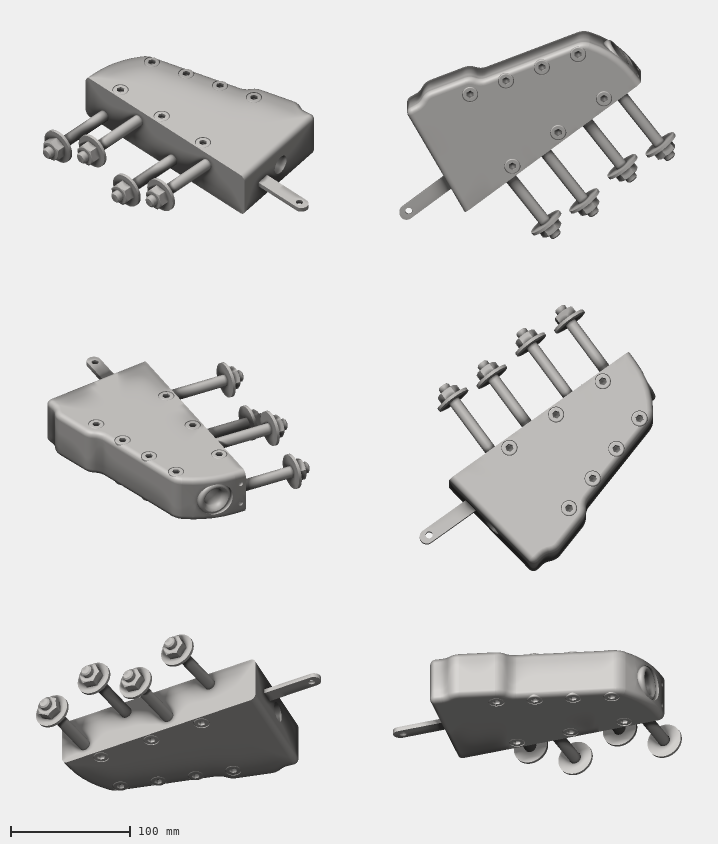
import cadquery as cq
import math

TILT = 8.0
HEIGHT = 42.0
TOP = HEIGHT / 2
RIGHT_X = 183.8
OVERLAP = 2.4
EDGE_ROUND = 5.0

LEFT_LENGTH = 10.0
NOSE_RADIUS = 75.0
NOSE_TURN = 35.2
SHOULDER_RADIUS = 15.0
LOWER_TOP_LENGTH = 82.0
HOLLOW_RADIUS = 12.0
CREST_RADIUS = 13.5
STEP_TURN = 42.0
UPPER_TOP_LENGTH = 30.2
DROP_ANGLE = 35.0

SCREW_HEAD_DIAMETER = 13.0
SCREW_HEAD_ROUND = 1.0
SCREW_HEAD_HEIGHT = 8.0
COUNTERBORE_DIAMETER = 13.5
SOCKET_WIDTH = 6.0
SOCKET_DEPTH = 4.0
SOCKET_POINT_ANGLE = 118.0
SCREW_X = 33.7
SCREW_PITCH = 31.8
BACK_ROW_Y = [47.4, 52.5, 57.0, 61.5]
FRONT_ROW_Y = 3.3
FRONT_PITCH = 1.5 * SCREW_PITCH
FRONT_COUNT = 3

BOLT_DIAMETER = 10.0
BOLT_LENGTH = 69.3
BOLT_CHAMFER = 1.2
BOLT_COUNT = 4
BOLT_START = 21.7
BOLT_PITCH = 40.0
BOLT_STAGGER = 19.0
WASHER_DIAMETER = 30.0
WASHER_HOLE = 10.5
WASHER_THICKNESS = 2.5
WASHER_DEPTH = 53.5
NUT_WIDTH = 17.0
NUT_HEIGHT = 8.0
NUT_CROWN_DIAMETER = 16.0
NUT_CONE_ANGLE = 30.0
FIRST_NUT_ANGLE = 33.0
NUT_ANGLE = -7.0

GROMMET_DIAMETER = 30.0
GROMMET_ROUND = 3.0
GROMMET_BORE = 16.7
TUNNEL_LAP = 1.2
BELL_DEPTH = 6.1
GROMMET_INSET = 27.0
GROMMET_FACE = 2.0
GROMMET_LENGTH = 11.8

PIN_HOLE_DIAMETER = 4.2
PIN_HOLE_DEPTH = 7.0
PIN_HOLE_INSET = 4.7
PIN_HOLE_SPACING = 19.8

TONGUE_WIDTH = 12.0
TONGUE_THICKNESS = 4.0
TONGUE_INSET = 25.5
TONGUE_START = 165.0
TONGUE_END = 227.1
TONGUE_HOLE_DIAMETER = 6.0
TONGUE_HOLE_SETBACK = 2.4

COS_TILT = math.cos(math.radians(TILT))
SIN_TILT = math.sin(math.radians(TILT))


def hex_corners(width):
    """Diameter over the corners of a hexagon with the given width across flats."""
    return width / math.cos(math.radians(30))


def tilted(shape):
    """Turn a shape modelled square to the mounting face into its final place."""
    return shape.rotate((0, 0, 0), (0, 0, 1), -TILT)


def body_outline():
    """Side outline of the body; every arc leaves tangent to what comes before it."""
    x, y, heading = 0.0, 0.0, 90.0 - TILT
    wire = cq.Workplane("XY", origin=(0, 0, -TOP)).moveTo(x, y)
    runs = [
        ("line", LEFT_LENGTH, 0),
        ("arc", NOSE_RADIUS, -NOSE_TURN),
        ("arc", SHOULDER_RADIUS, NOSE_TURN - 90 + 2 * TILT),
        ("line", LOWER_TOP_LENGTH, 0),
        ("arc", HOLLOW_RADIUS, STEP_TURN),
        ("arc", CREST_RADIUS, -STEP_TURN),
        ("line", UPPER_TOP_LENGTH, 0),
        ("arc", CREST_RADIUS, -TILT - DROP_ANGLE),
        ("arc", HOLLOW_RADIUS, DROP_ANGLE),
    ]
    for kind, size, turn in runs:
        chord = size
        if kind == "arc":
            chord = 2 * size * math.sin(math.radians(abs(turn) / 2))
        direction = math.radians(heading + turn / 2)
        x += chord * math.cos(direction)
        y += chord * math.sin(direction)
        heading += turn
        if kind == "line":
            wire = wire.lineTo(x, y)
        else:
            wire = wire.radiusArc((x, y), -math.copysign(size, turn))
    wire = wire.lineTo(RIGHT_X, y)
    return wire.lineTo(RIGHT_X, -RIGHT_X * math.tan(math.radians(TILT))).close()


def make_body():
    """Extruded outline, rounded everywhere except around the mounting face."""
    body = body_outline().extrude(HEIGHT)
    back_corner = body.edges("|Z").edges(">(1, 1, 0)")
    mounting_edges = body.faces(f"<({SIN_TILT}, {COS_TILT}, 0)").edges().vals()
    rim = body.faces("<Z or >Z").edges().filter(
        lambda edge: not any(edge.isSame(other) for other in mounting_edges)
    )
    return rim.add(back_corner).fillet(EDGE_ROUND)


def screw_pocket():
    """Counterbore for one screw, reaching from the top face down."""
    plane = cq.Workplane("XY", origin=(0, 0, TOP))
    return plane.circle(COUNTERBORE_DIAMETER / 2).extrude(-SCREW_HEAD_HEIGHT)


def screw_head():
    """Rounded screw head, flush with the top face, with a hexagon socket ending in a cone."""
    plane = cq.Workplane("XY", origin=(0, 0, TOP))
    head = plane.circle(SCREW_HEAD_DIAMETER / 2).extrude(-SCREW_HEAD_HEIGHT)
    head = head.faces(">Z").edges().fillet(SCREW_HEAD_ROUND)
    socket = plane.polygon(6, hex_corners(SOCKET_WIDTH)).extrude(-SOCKET_DEPTH)
    radius = SOCKET_WIDTH / 2
    point = radius / math.tan(math.radians(SOCKET_POINT_ANGLE / 2))
    cone = cq.Solid.makeCone(radius, 0, point, cq.Vector(0, 0, TOP - SOCKET_DEPTH), cq.Vector(0, 0, -1))
    return head.cut(socket).cut(cq.Workplane(cone))


def screw_places():
    """Positions of all cover screws; the front row follows the mounting face."""
    back = [(SCREW_X + i * SCREW_PITCH, y, 0) for i, y in enumerate(BACK_ROW_Y)]
    fall = FRONT_PITCH * math.tan(math.radians(TILT))
    front = [(SCREW_X + i * FRONT_PITCH, FRONT_ROW_Y - i * fall, 0) for i in range(FRONT_COUNT)]
    return back + front


def make_bolt(along, height, nut_angle):
    """Bolt, washer and nut, pointing away from the mounting face."""
    plane = cq.Workplane("XZ", origin=(along, 0, height))
    bolt = plane.circle(BOLT_DIAMETER / 2).extrude(BOLT_LENGTH).faces("<Y").chamfer(BOLT_CHAMFER)
    root = plane.circle(BOLT_DIAMETER / 2).extrude(-OVERLAP)
    washer = (
        plane.workplane(offset=WASHER_DEPTH)
        .circle(WASHER_DIAMETER / 2).circle(WASHER_HOLE / 2).extrude(WASHER_THICKNESS)
    )
    nut_plane = plane.workplane(offset=WASHER_DEPTH + WASHER_THICKNESS)
    turned_plane = nut_plane.transformed(rotate=(0, 0, nut_angle))
    nut = turned_plane.polygon(6, hex_corners(NUT_WIDTH)).extrude(NUT_HEIGHT)
    rim = hex_corners(NUT_WIDTH) / 2
    crown = rim - NUT_CROWN_DIAMETER / 2
    cone = nut_plane.circle(rim).extrude(NUT_HEIGHT).faces("<Y").chamfer(
        crown * math.tan(math.radians(NUT_CONE_ANGLE)), crown)
    return bolt.union(root).union(washer).union(nut.intersect(cone))


def grommet_seat():
    """Round pocket in the nose that holds the grommet."""
    return (
        cq.Workplane("YZ", origin=(-OVERLAP, GROMMET_INSET, 0)).circle(GROMMET_DIAMETER / 2)
        .extrude(GROMMET_FACE + GROMMET_LENGTH + OVERLAP)
    )


def make_grommet():
    """Ring around the cable opening: rounded outside, with a bell mouth running into the bore."""
    inner = GROMMET_INSET + GROMMET_BORE / 2
    outer = GROMMET_INSET + GROMMET_DIAMETER / 2
    crest = outer - GROMMET_ROUND
    back = GROMMET_FACE + GROMMET_LENGTH
    flare = crest - inner
    bell_radius = (BELL_DEPTH ** 2 + flare ** 2) / (2 * flare)
    return (
        cq.Workplane("XY").moveTo(back, inner).lineTo(GROMMET_FACE + BELL_DEPTH, inner)
        .radiusArc((GROMMET_FACE, crest), bell_radius)
        .radiusArc((GROMMET_FACE + GROMMET_ROUND, outer), GROMMET_ROUND)
        .lineTo(back, outer).close()
        .revolve(360, (0, GROMMET_INSET, 0), (1, GROMMET_INSET, 0))
    )


def cable_tunnel():
    """Bore along X from the back of the grommet out through the right side."""
    back = GROMMET_FACE + GROMMET_LENGTH
    x = back * COS_TILT + GROMMET_INSET * SIN_TILT
    y = GROMMET_INSET * COS_TILT - back * SIN_TILT
    return cq.Workplane("YZ", origin=(x - TUNNEL_LAP, y, 0)).circle(GROMMET_BORE / 2).extrude(RIGHT_X)


def pin_holes():
    """Two blind holes in the left wall near the mounting face."""
    return (
        cq.Workplane("YZ", origin=(0, PIN_HOLE_INSET, 0)).rarray(2.4, PIN_HOLE_SPACING, 1, 2)
        .circle(PIN_HOLE_DIAMETER / 2).extrude(PIN_HOLE_DEPTH)
    )


def make_tongue():
    """Flat bar with a rounded, drilled end."""
    half = TONGUE_WIDTH / 2
    plane = cq.Workplane("XY", origin=(0, TONGUE_INSET, -TONGUE_THICKNESS / 2))
    bar = (
        plane.moveTo(TONGUE_START, -half).lineTo(TONGUE_END, -half)
        .threePointArc((TONGUE_END + half, 0), (TONGUE_END, half))
        .lineTo(TONGUE_START, half).close().extrude(TONGUE_THICKNESS)
    )
    hole = (
        plane.center(TONGUE_END - TONGUE_HOLE_SETBACK, 0)
        .circle(TONGUE_HOLE_DIAMETER / 2).extrude(TONGUE_THICKNESS)
    )
    return bar.cut(hole)


result = make_body()

pocket = screw_pocket()
head = screw_head()
for place in screw_places():
    for cutter in (pocket, pocket.mirror("XY")):
        result = result.cut(cutter.translate(place))
    for screw in (head, head.mirror("XY")):
        result = result.union(screw.translate(place))

result = result.cut(tilted(pin_holes())).cut(tilted(grommet_seat()))
result = result.union(tilted(make_grommet())).cut(cable_tunnel())

for index in range(BOLT_COUNT):
    side = -1 if index % 2 == 0 else 1
    angle = FIRST_NUT_ANGLE if index == 0 else NUT_ANGLE
    bolt_set = make_bolt(BOLT_START + index * BOLT_PITCH, side * BOLT_STAGGER / 2, angle)
    result = result.union(tilted(bolt_set))

result = result.union(tilted(make_tongue()))